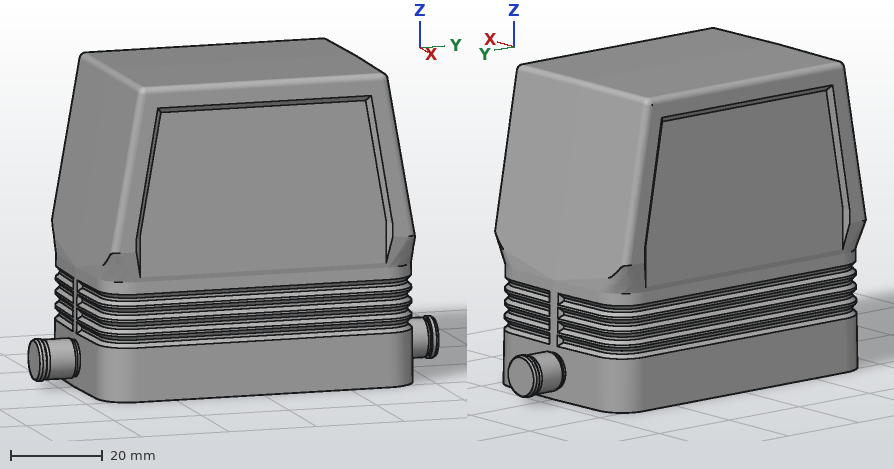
import cadquery as cq
import math

body_width = 45.0
total_height = 70.0
pin_span = 91.19

base_half_x = 21.65
base_half_y = 36.5
base_top_half_x = 21.35
base_top_half_y = 36.2
base_top = 26.6
base_corner_radius = 7.0
end_crease_slope = 0.031

flare_top = 33.5
flare_end_lean = 0.072
flare_corner_radius = 2.0

body_top_half_y = 28.5
body_crease_slope = 0.01
roof_drop = 0.15
body_edge_radius = 1.5

groove_count = 4
groove_pitch = 3.1
groove_start = 12.05
groove_depth = 0.9
groove_lower_wall = 0.9
groove_floor = 0.7
groove_upper_wall = 0.95
groove_height = groove_lower_wall + groove_floor + groove_upper_wall
rib_half_width = 1.15
tool_margin = 2.0

recess_top = 65.2
recess_bend = 36.4
recess_top_half_y = 24.4
recess_bend_half_y = 29.3
recess_depth = 0.97
recess_inset = 1.2
recess_bend_rise = 0.7

pin_height = 6.4
pin_radius = 4.4
pin_head_radius = 4.65
pin_neck_radius = 4.1
pin_head_length = 1.45
pin_head_chamfer = 0.35
pin_head_chamfer_length = 0.6
pin_groove_flat = 0.3
pin_bevel_length = 0.6
pin_foot_length = 0.35
pin_root_depth = 1.0


def creased_outline(half_x, half_y, crease_slope, z):
    """Sharp six-sided outline whose two ends come to a shallow point at X = 0."""
    side_half_y = half_y - crease_slope * half_x
    corners = [
        (half_x, -side_half_y),
        (half_x, side_half_y),
        (0, half_y),
        (-half_x, side_half_y),
        (-half_x, -side_half_y),
        (0, -half_y),
    ]
    return cq.Workplane("XY").workplane(offset=z).polyline(corners).close()


def rounded_wire(half_x, half_y, corner_radius, z):
    """Creased outline with its four side corners rounded by tangent arcs."""
    tilt = math.atan(end_crease_slope)
    arc_y = half_y - end_crease_slope * (half_x - corner_radius) - corner_radius / math.cos(tilt)
    arc_x = half_x - corner_radius

    def arc_point(angle, sign_x, sign_y):
        x = arc_x + corner_radius * math.cos(angle)
        y = arc_y + corner_radius * math.sin(angle)
        return (sign_x * x, sign_y * y)

    end_angle = math.pi / 2 - tilt
    from_end = (end_angle, end_angle / 2, 0)
    from_side = (0, end_angle / 2, end_angle)
    outline = cq.Workplane("XY").workplane(offset=z).moveTo(0, -half_y)
    for sign_x, sign_y, angles in (
        (1, -1, from_end),
        (1, 1, from_side),
        (-1, 1, from_end),
        (-1, -1, from_side),
    ):
        start, middle, finish = [arc_point(angle, sign_x, sign_y) for angle in angles]
        outline = outline.lineTo(*start).threePointArc(middle, finish)
        if angles is from_side:
            outline = outline.lineTo(0, sign_y * half_y)
    return outline.wire().val()


def ruled_solid(lower_wire, upper_wire):
    return cq.Workplane(cq.Solid.makeLoft([lower_wire, upper_wire], True))


def base_wire(z, depth=0.0):
    """Outline of the drafted base at height z, offset inwards by depth."""
    rise = z / base_top
    half_x = base_half_x + (base_top_half_x - base_half_x) * rise - depth
    half_y = base_half_y + (base_top_half_y - base_half_y) * rise - depth
    return rounded_wire(half_x, half_y, base_corner_radius - depth, z)


def make_base():
    return ruled_solid(base_wire(0), base_wire(base_top))


def make_groove(bottom):
    """One trapezoid groove right round the base."""
    floor_bottom = bottom + groove_lower_wall
    floor_top = floor_bottom + groove_floor
    top = bottom + groove_height
    ring = (
        cq.Workplane("XY")
        .workplane(offset=bottom)
        .rect(2 * (base_half_x + tool_margin), 2 * (base_half_y + tool_margin))
        .extrude(groove_height)
    )
    lower_core = ruled_solid(base_wire(bottom), base_wire(floor_bottom, groove_depth))
    floor_core = ruled_solid(base_wire(floor_bottom, groove_depth), base_wire(floor_top, groove_depth))
    upper_core = ruled_solid(base_wire(floor_top, groove_depth), base_wire(top))
    return ring.cut(lower_core).cut(floor_core).cut(upper_core)


def make_rib():
    """Block at the +Y end that keeps the grooves from crossing X = 0."""
    rib_depth = groove_depth + tool_margin
    return (
        cq.Workplane("XY")
        .workplane(offset=groove_start)
        .polyline([
            (-rib_half_width, base_half_y + tool_margin),
            (rib_half_width, base_half_y + tool_margin),
            (rib_half_width, base_half_y),
            (rib_half_width + rib_depth, base_half_y - rib_depth),
            (-rib_half_width - rib_depth, base_half_y - rib_depth),
            (-rib_half_width, base_half_y),
        ])
        .close()
        .extrude(groove_count * groove_pitch)
    )


def cut_grooves(base):
    rib = make_rib()
    for index in range(groove_count):
        groove = make_groove(groove_start + index * groove_pitch)
        base = base.cut(groove.cut(rib).cut(rib.mirror("XZ")))
    return base


def lies_on_ridge(edge):
    """True for the crease edges that run along X = 0."""
    box = edge.BoundingBox()
    return max(abs(box.xmin), abs(box.xmax)) < body_edge_radius


def make_body():
    """Tapered hood with a faint ridge, flared in at its foot to meet the base."""
    half_x = body_width / 2
    hood = ruled_solid(
        creased_outline(half_x, base_top_half_y, body_crease_slope, base_top).val(),
        creased_outline(half_x, body_top_half_y, body_crease_slope, total_height).val(),
    )
    roof = (
        cq.Workplane("XZ")
        .polyline([
            (-half_x, 0),
            (half_x, 0),
            (half_x, total_height - roof_drop),
            (0, total_height),
            (-half_x, total_height - roof_drop),
        ])
        .close()
        .extrude(base_half_y, both=True)
    )
    hood = hood.intersect(roof)
    foot = hood.faces("<Z").edges().vals()
    rim = [
        edge for edge in hood.edges().vals()
        if edge not in foot and not lies_on_ridge(edge)
    ]
    hood = cq.Workplane(hood.val().fillet(body_edge_radius, rim))

    flare_half_y = base_top_half_y - flare_end_lean * (flare_top - base_top)
    flare_wire = rounded_wire(half_x, flare_half_y, flare_corner_radius, flare_top)
    flare = ruled_solid(base_wire(base_top), flare_wire)
    above = (
        cq.Workplane("XY")
        .workplane(offset=flare_top)
        .rect(body_width, 2 * base_half_y)
        .extrude(total_height - flare_top)
    )
    return hood.intersect(flare.union(above))


def recess_wire(inset, bend, x):
    """Recess outline at the given X, shrunk by inset; its foot runs out through the flare."""
    side_slope = (recess_bend_half_y - recess_top_half_y) / (recess_top - recess_bend)
    top = recess_top - inset
    top_half_y = recess_top_half_y - inset + side_slope * inset
    bend_half_y = recess_bend_half_y - inset
    return (
        cq.Workplane("YZ")
        .workplane(offset=x)
        .polyline([
            (-bend_half_y, base_top),
            (bend_half_y, base_top),
            (bend_half_y, bend),
            (top_half_y, top),
            (-top_half_y, top),
            (-bend_half_y, bend),
        ])
        .close()
        .val()
    )


def make_recess():
    """Shallow panel on the +X side."""
    mouth_x = body_width / 2
    return ruled_solid(
        recess_wire(recess_inset, recess_bend + recess_bend_rise, mouth_x - recess_depth),
        recess_wire(0, recess_bend, mouth_x),
    )


def make_pin():
    """Grooved locking pin pointing along +Y."""
    tip = pin_span / 2
    head_back = tip - pin_head_length
    groove_end = head_back - pin_groove_flat
    foot = base_half_y + pin_foot_length
    root = base_half_y - pin_root_depth
    profile = [
        (0, root),
        (pin_neck_radius, root),
        (pin_neck_radius, foot),
        (pin_radius, foot + pin_bevel_length),
        (pin_radius, groove_end - pin_bevel_length),
        (pin_neck_radius, groove_end),
        (pin_neck_radius, head_back),
        (pin_head_radius, head_back),
        (pin_head_radius, tip - pin_head_chamfer_length),
        (pin_head_radius - pin_head_chamfer, tip),
        (0, tip),
    ]
    pin = cq.Workplane("XY").polyline(profile).close().revolve(360, (0, 0, 0), (0, 1, 0))
    return pin.translate((0, 0, pin_height))


recess = make_recess()
pin = make_pin()
result = cut_grooves(make_base()).union(make_body())
result = result.cut(recess).cut(recess.mirror("YZ"))
result = result.union(pin).union(pin.mirror("XZ"))